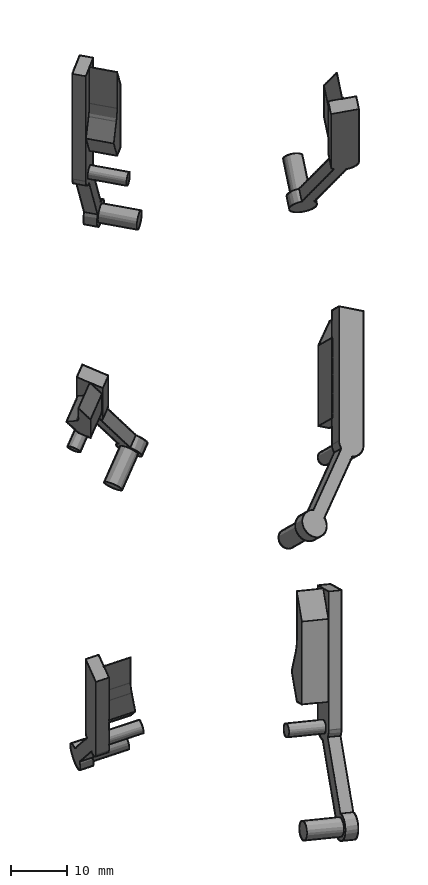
import cadquery as cq

plate_thickness = 2.51
bar_width = 5.08
bar_height = 25.4
foot_diameter = 5.08
foot_y = 7.62
foot_z = -16.70
arm_width = 2.54

pin_end_x = 9.65
pivot_pin_diameter = 2.54
foot_pin_diameter = 3.56

catch_end_x = 7.62
catch_reach = 2.35
catch_step = 5.08
catch_bend_radius = 6.35


def extrude_disc(y, z, diameter, length):
    """Disc or pin along +X, starting on the outer face of the plate."""
    return cq.Workplane("YZ").center(y, z).circle(diameter / 2).extrude(length)


def make_bar():
    """Straight bar with a full round lower end."""
    half_width = bar_width / 2
    return (
        cq.Workplane("YZ")
        .moveTo(-half_width, bar_height)
        .lineTo(-half_width, 0)
        .threePointArc((0, -half_width), (half_width, 0))
        .lineTo(half_width, bar_height)
        .close()
        .extrude(plate_thickness)
    )


def make_arm():
    """Slanted arm joining the pivot axis to the foot axis."""
    axis = cq.Vector(0, foot_y, foot_z)
    arm_plane = cq.Plane(
        origin=(0, foot_y / 2, foot_z / 2),
        xDir=axis.toTuple(),
        normal=(1, 0, 0),
    )
    return cq.Workplane(arm_plane).rect(axis.Length, arm_width).extrude(plate_thickness)


def make_catch():
    """Wedge-shaped catch with a rounded bend above its nose."""
    catch_length = catch_end_x - plate_thickness
    shoulder_z = bar_height - catch_step
    bend_z = shoulder_z - catch_step
    nose_z = bend_z - catch_step
    bottom_z = nose_z - catch_step
    block = (
        cq.Workplane("YZ", origin=(plate_thickness, 0, 0))
        .moveTo(0, bar_height)
        .lineTo(0, bend_z)
        .lineTo(-catch_reach, nose_z)
        .lineTo(0, bottom_z)
        .lineTo(catch_reach, bottom_z)
        .lineTo(catch_reach, shoulder_z)
        .close()
        .extrude(catch_length)
    )
    bend_middle = (plate_thickness + catch_length / 2, 0, bend_z)
    bend_edge = cq.selectors.NearestToPointSelector(bend_middle)
    return block.edges(bend_edge).fillet(catch_bend_radius)


foot = extrude_disc(foot_y, foot_z, foot_diameter, plate_thickness)
pivot_pin = extrude_disc(0, 0, pivot_pin_diameter, pin_end_x)
foot_pin = extrude_disc(foot_y, foot_z, foot_pin_diameter, pin_end_x)

result = (
    make_bar()
    .union(make_arm())
    .union(foot)
    .union(pivot_pin)
    .union(foot_pin)
    .union(make_catch())
)